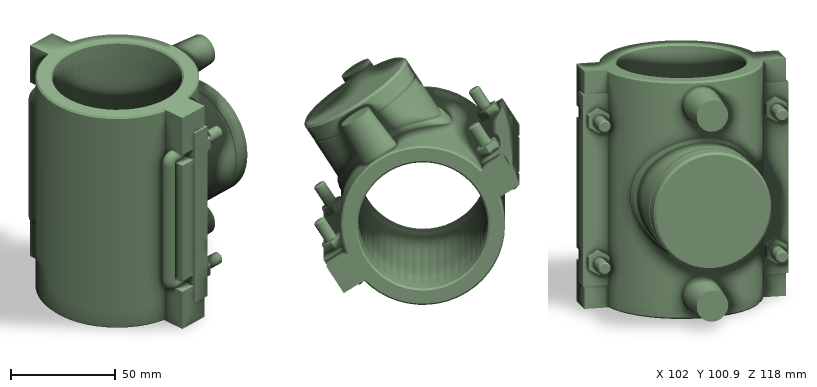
import cadquery as cq
import math

height = 118.0
body_radius = 39.4
bore_radius = 31.3
rim_chamfer = 0.8

flange_reach = 50.0
flange_thickness = 7.8
flange_root = (body_radius + bore_radius) / 2

plate_reach = 51.0
plate_back = 8.8
plate_height = 94.9

branch_end = 61.5
branch_radius = 58.3 / 2
branch_chamfer = 1.1
groove_radius = 57.3 / 2
groove_start = 52.0
groove_width = 1.1

bead_half_width = 31.5
bead_half_height = 30.6
bead_radius = body_radius + 2.4
bead_bevel_side = 2.1
bead_bevel_top = 1.3

stud_offset = 47.2
stud_end = 60.7
stud_end_radius = 7.8
stud_base = 38.9
stud_base_radius = 9.38

bolt_diameter = 6.0
bolt_radius = bolt_diameter / 2
bolt_x = 44.0
bolt_leg_z = 35.3
bend_radius = 3.1
bolt_end = 24.1
bolt_chamfer = 0.6
nut_across_flats = 10.1
nut_height = 4.2


def upright_cylinder(radius):
    """Cylinder along Z over the full height of the part."""
    return cq.Workplane("XY").workplane(offset=-height / 2).circle(radius).extrude(height)


def rearward(start, x=0, z=0):
    """Workplane at a Y position; a negative extrusion runs toward +Y."""
    return cq.Workplane("XZ", origin=(x, start, z))


def rear_cylinder(radius, start, end):
    """Cylinder along Y, centred on the branch axis."""
    return rearward(start).circle(radius).extrude(start - end)


def block(x_limits, y_limits, block_height, z=0):
    """Box given by its X and Y limits and centred on a height z."""
    x_start, x_end = x_limits
    y_start, y_end = y_limits
    box = cq.Workplane("XY").box(x_end - x_start, y_end - y_start, block_height)
    return box.translate(((x_start + x_end) / 2, (y_start + y_end) / 2, z))


def make_sleeve():
    """Solid sleeve with bevelled rims; the bore is cut once everything is joined."""
    return upright_cylinder(body_radius).faces("|Z").chamfer(rim_chamfer)


def make_branch():
    """Closed branch pipe with a bevelled end and a shallow ring groove."""
    branch = rear_cylinder(branch_radius, 0, branch_end).faces(">Y").chamfer(branch_chamfer)
    groove_end = groove_start + groove_width
    groove = rear_cylinder(branch_radius, groove_start, groove_end)
    groove = groove.cut(rear_cylinder(groove_radius, groove_start, groove_end))
    return branch.cut(groove)


def make_weld_bead():
    """Oval collar around the branch, concentric with the sleeve and bevelled along its edge."""
    oval = rearward(0).ellipse(bead_half_width, bead_half_height).extrude(-branch_end)
    bead = oval.intersect(upright_cylinder(bead_radius))
    return bead.faces(">Y").edges().chamfer(bead_bevel_side, bead_bevel_top)


def make_stud(z):
    """Stud tapering toward +Y, with a straight root buried in the sleeve wall."""
    cone = rearward(stud_base, z=z).circle(stud_base_radius)
    cone = cone.workplane(offset=stud_base - stud_end).circle(stud_end_radius).loft()
    root = rearward(flange_root, z=z).circle(stud_base_radius).extrude(flange_root - stud_base)
    return cone.union(root)


def make_flange():
    """Front and rear flange on the +X side, with the backing plate and the bolt slots."""
    flange = block((flange_root, flange_reach), (-flange_thickness, flange_thickness), height)
    for z in (-bolt_leg_z, bolt_leg_z):
        slot = block((bolt_x, flange_reach), (-flange_thickness, 0), bolt_diameter, z)
        flange = flange.cut(slot)
    plate = block((flange_root, plate_reach), (0, plate_back), plate_height)
    return flange.union(plate)


def make_bolt():
    """U-bolt on the +X side: two legs along Y joined by a bar across the front flange."""
    bar_y = -flange_thickness - bend_radius
    bar_end = bolt_leg_z - bend_radius
    bend_mid = bend_radius * math.sin(math.pi / 4)
    path = (
        cq.Workplane("YZ", origin=(bolt_x, 0, 0))
        .moveTo(bolt_end, bolt_leg_z)
        .lineTo(-flange_thickness, bolt_leg_z)
        .threePointArc((-flange_thickness - bend_mid, bar_end + bend_mid), (bar_y, bar_end))
        .lineTo(bar_y, -bar_end)
        .threePointArc((-flange_thickness - bend_mid, -bar_end - bend_mid), (-flange_thickness, -bolt_leg_z))
        .lineTo(bolt_end, -bolt_leg_z)
    )
    bolt = rearward(bolt_end, bolt_x, bolt_leg_z).circle(bolt_radius).sweep(path)
    bolt = bolt.faces(">Y").chamfer(bolt_chamfer)
    for z in (-bolt_leg_z, bolt_leg_z):
        nut = rearward(plate_back, bolt_x, z).polygon(6, nut_across_flats, circumscribed=True)
        bolt = bolt.union(nut.extrude(-nut_height))
    return bolt


def make_bore():
    """Bore tool, widened at both ends to bevel the inner rims."""
    bore = upright_cylinder(bore_radius)
    mouth = cq.Workplane("XY").workplane(offset=height / 2).circle(bore_radius + rim_chamfer)
    mouth = mouth.workplane(offset=-rim_chamfer).circle(bore_radius).loft()
    return bore.union(mouth).union(mouth.mirror("XY"))


def make_part():
    """Join all features, then cut the bore through the sleeve."""
    part = make_sleeve().union(make_branch()).union(make_weld_bead())
    for z in (-stud_offset, stud_offset):
        part = part.union(make_stud(z))
    side = make_flange().union(make_bolt())
    part = part.union(side).union(side.mirror("YZ"))
    return part.cut(make_bore())


result = make_part()